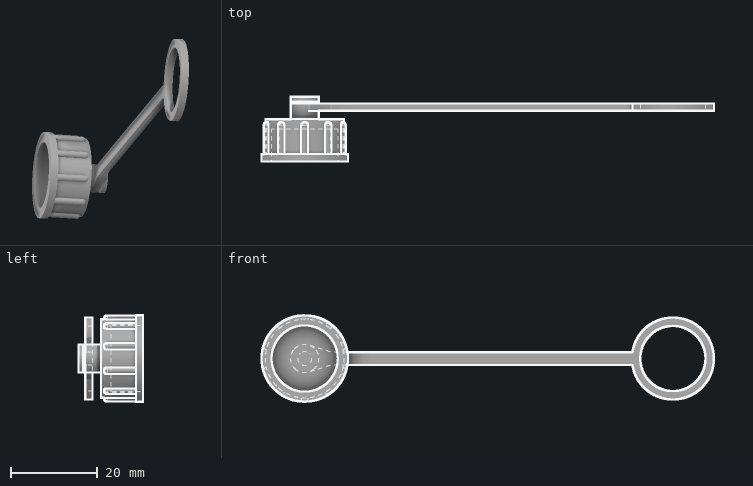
import cadquery as cq
import math


rim_radius = 10.0
rim_height = 1.7
body_radius = 9.1
body_height = 9.8
bore_radius = 7.65
bore_depth = 7.5

rib_count = 10
rib_radius = 0.8
rib_circle_radius = 9.15
rib_shoulder_height = 8.3

overall_height = 15.0
boss_radius = 3.25
neck_radius = 1.6
button_thickness = 1.15
button_start = overall_height - button_thickness

strap_thickness = 1.7
strap_back = 13.4
strap_start = strap_back - strap_thickness
strap_width = 3.0
taper_end_x = 6.1
ring_center_x = 85.0
ring_outer_radius = 9.5
ring_inner_radius = 7.5


def plane_at(y):
    """Plane facing +Y at height y, with local x along X and local y along -Z."""
    return cq.Workplane(cq.Plane(origin=(0, y, 0), xDir=(1, 0, 0), normal=(0, 1, 0)))


def disc(radius, start, end, center_x=0.0):
    """Cylinder along Y from start to end."""
    return plane_at(start).center(center_x, 0).circle(radius).extrude(end - start)


def make_rib():
    """Rib on the +Z side of the cap, from the rim to its domed tip."""
    profile = (
        cq.Workplane("XY")
        .lineTo(rib_radius, 0)
        .lineTo(rib_radius, rib_shoulder_height)
        .radiusArc((0, rib_shoulder_height + rib_radius), -rib_radius)
        .close()
    )
    rib = profile.revolve(360, (0, 0, 0), (0, 1, 0))
    return rib.translate((0, 0, rib_circle_radius))


def make_cap():
    """Rimmed cup with evenly spaced ribs and a blind bore."""
    cap = disc(rim_radius, 0, rim_height).union(disc(body_radius, 0, body_height))
    rib = make_rib()
    for index in range(rib_count):
        angle = index * 360 / rib_count
        cap = cap.union(rib.rotate((0, 0, 0), (0, 1, 0), angle))
    return cap.cut(disc(bore_radius, 0, bore_depth))


def make_stem():
    """Boss, thinner neck and retaining button, stacked on the cap."""
    boss = disc(boss_radius, body_height, strap_back)
    neck = disc(neck_radius, strap_back, button_start)
    button = disc(boss_radius, button_start, overall_height)
    return boss.union(neck).union(button)


def make_strap():
    """Flat strap that flares tangentially into the boss and ends in a ring."""
    half_width = strap_width / 2
    taper_end_distance = math.hypot(taper_end_x, half_width)
    tangent_angle = math.atan2(half_width, taper_end_x) + math.acos(boss_radius / taper_end_distance)
    tangent_x = boss_radius * math.cos(tangent_angle)
    tangent_z = boss_radius * math.sin(tangent_angle)
    band = (
        plane_at(strap_start)
        .moveTo(tangent_x, tangent_z)
        .lineTo(taper_end_x, half_width)
        .lineTo(ring_center_x, half_width)
        .lineTo(ring_center_x, -half_width)
        .lineTo(taper_end_x, -half_width)
        .lineTo(tangent_x, -tangent_z)
        .close()
        .extrude(strap_thickness)
    )
    ring = disc(ring_outer_radius, strap_start, strap_back, ring_center_x)
    hole = disc(ring_inner_radius, strap_start, strap_back, ring_center_x)
    return band.union(ring).cut(hole)


result = make_cap().union(make_stem()).union(make_strap())